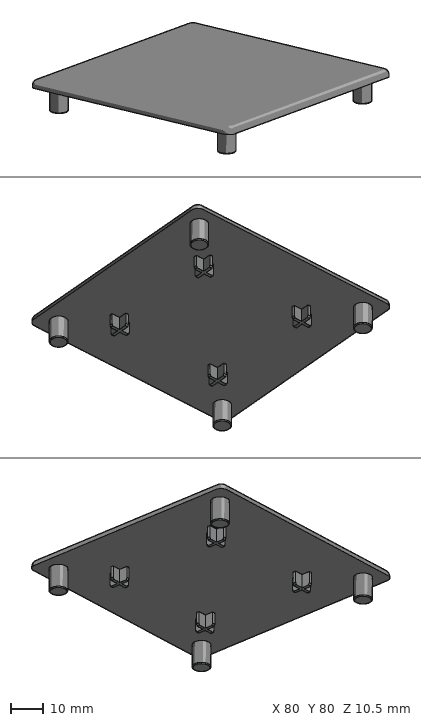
import cadquery as cq

plate_side = 80.0
plate_thickness = 2.5
corner_radius = 2.5
rim_radius = 2.0

post_diameter = 5.8
post_length = 8.0
post_spacing = 66.8
post_tip_height = 0.3
post_tip_inset = 0.3

peg_diameter = 7.1
peg_rib_thickness = 1.0
peg_length = 4.6
peg_spacing = 40.0
peg_tip_height = 0.7
peg_tip_inset = 0.3


def square_pattern(spacing):
    """Four points at the corners of a square centred on the plate."""
    half = spacing / 2
    return [(x, y) for x in (-half, half) for y in (-half, half)]


def make_plate():
    """Plate with its underside at Z = 0, rounded corners and a rounded upper rim."""
    plate = cq.Workplane("XY").rect(plate_side, plate_side).extrude(plate_thickness)
    plate = plate.edges("|Z").fillet(corner_radius)
    return plate.faces(">Z").edges().fillet(rim_radius)


def make_pin(diameter, length, tip_height, tip_inset):
    """Round pin hanging down from Z = 0, with a tip bevelled by the given height and inset."""
    pin = cq.Workplane("XY").circle(diameter / 2).extrude(-length)
    return pin.faces("<Z").edges().chamfer(tip_height, tip_inset)


def make_peg():
    """Two crossing ribs whose outer ends follow a chamfered round pin."""
    rib_x = cq.Workplane("XY").rect(peg_diameter, peg_rib_thickness).extrude(-peg_length)
    rib_y = cq.Workplane("XY").rect(peg_rib_thickness, peg_diameter).extrude(-peg_length)
    pin = make_pin(peg_diameter, peg_length, peg_tip_height, peg_tip_inset)
    return pin.intersect(rib_x.union(rib_y))


result = make_plate()

post = make_pin(post_diameter, post_length, post_tip_height, post_tip_inset)
for x, y in square_pattern(post_spacing):
    result = result.union(post.translate((x, y, 0)))

peg = make_peg()
for x, y in square_pattern(peg_spacing):
    result = result.union(peg.translate((x, y, 0)))